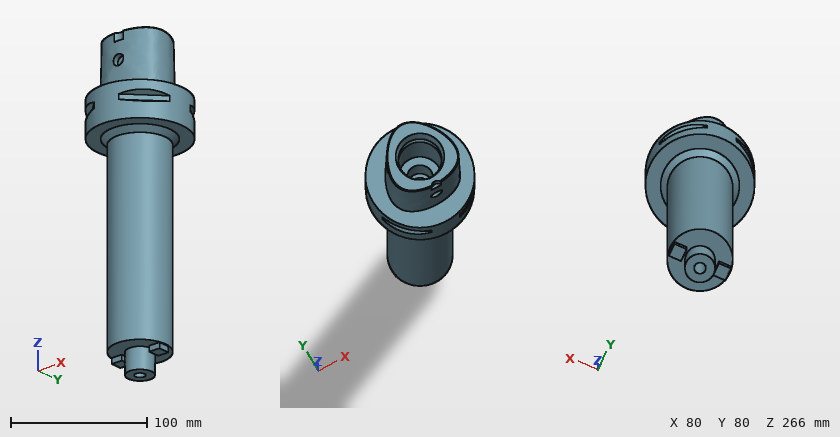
import cadquery as cq
import math

total_length = 266

pilot_radius = 22.0 / 2
pilot_length = 18.4
shaft_radius = 48.1 / 2
key_width = 10.0
key_height = 4.8
key_inner = 13.0
key_outer = 23.0

flange_radius = 80.0 / 2
flange_height = 30.5
cone_height = 4.8
cone_radius = shaft_radius + cone_height

shank_length = 47.3
shank_base_radius = 55.0 / 2
shank_top_radius = 53.0 / 2
shank_eccentricity = 2.0
shank_curve_points = 36
rim_chamfer = 0.8

flange_top = total_length - shank_length
flange_bottom = flange_top - flange_height
shaft_top = flange_bottom - cone_height

groove_count = 4
groove_floor_distance = 35.5
groove_floor_height = 4.3
groove_wall_angle = 30
groove_z = flange_top - 12.5

mouth_radius = 17.8
bore_radius = 16
lip_start = 6.6
lip_end = 8.2
clamp_groove_radius = 19.5
clamp_groove_end = 13.5
clamp_cone_end = 16
bore_depth = 53.2
thread_radius = 9.5
thread_depth = 74.5
clearance_radius = 6.5
clearance_depth = 90.5
coolant_radius = 4.3

mark_radius = 9.3 / 2
notch_depth = 7.5
notch_inner_y = -21.8
hole_depth_below_top = 23.0
hole_floor_y = -20.0


def revolve_profile(points):
    """Turn a closed (radius, z) outline about the Z axis."""
    return cq.Workplane("XZ").polyline(points).close().revolve(360, (0, 0, 0), (0, 1, 0))


def shank_section(mean_radius, z):
    """Three-lobed closed wire with one lobe pointing to +Y."""
    points = []
    for index in range(shank_curve_points):
        angle = 2 * math.pi * index / shank_curve_points - math.pi / 2
        x = mean_radius * math.cos(angle) - shank_eccentricity * math.sin(2 * angle)
        y = mean_radius * math.sin(angle) - shank_eccentricity * math.cos(2 * angle)
        points.append((x, y))
    return cq.Workplane("XY").workplane(offset=z).spline(points, periodic=True).wire().val()


def make_body():
    """Pilot, shaft, cone and flange turned as one piece."""
    return revolve_profile([
        (0, 0),
        (pilot_radius, 0),
        (pilot_radius, pilot_length),
        (shaft_radius, pilot_length),
        (shaft_radius, shaft_top),
        (cone_radius, flange_bottom),
        (flange_radius, flange_bottom),
        (flange_radius, flange_top),
        (0, flange_top),
    ])


def make_shank():
    """Tapered three-lobed shank with a chamfered rim."""
    chamfer_z = total_length - rim_chamfer
    base = shank_section(shank_base_radius, flange_top)
    chamfer_start = shank_section(shank_top_radius, chamfer_z)
    top = shank_section(shank_top_radius - rim_chamfer, total_length)
    return cq.Workplane(cq.Solid.makeLoft([base, chamfer_start, top], True))


def make_keys():
    """Two drive keys under the shaft, on the +X and -X sides."""
    key_length = key_outer - key_inner
    key_centre = (key_inner + key_outer) / 2
    return (
        cq.Workplane("XY")
        .workplane(offset=pilot_length - key_height)
        .pushPoints([(-key_centre, 0), (key_centre, 0)])
        .rect(key_length, key_width)
        .extrude(key_height)
    )


def make_flange_grooves():
    """Straight V grooves with a flat floor, spaced evenly around the flange at 45 degrees to X."""
    depth = flange_radius - groove_floor_distance
    floor_half = groove_floor_height / 2
    mouth_half = floor_half + depth * math.tan(math.radians(groove_wall_angle))
    groove = (
        cq.Workplane("XZ")
        .polyline([
            (groove_floor_distance, groove_z - floor_half),
            (flange_radius, groove_z - mouth_half),
            (flange_radius, groove_z + mouth_half),
            (groove_floor_distance, groove_z + floor_half),
        ])
        .close()
        .extrude(flange_radius, both=True)
    )
    step = 360 / groove_count
    grooves = cq.Workplane("XY")
    for index in range(groove_count):
        grooves = grooves.add(groove.rotate((0, 0, 0), (0, 0, 1), step * (index + 0.5)))
    return grooves.combine()


def make_bore():
    """Stepped bore with a clamping groove, open at both ends."""
    radius_and_depth = [
        (0, 0),
        (mouth_radius, 0),
        (bore_radius, lip_start),
        (bore_radius, lip_end),
        (clamp_groove_radius, lip_end),
        (clamp_groove_radius, clamp_groove_end),
        (bore_radius, clamp_cone_end),
        (bore_radius, bore_depth),
        (thread_radius, bore_depth),
        (thread_radius, thread_depth),
        (clearance_radius, thread_depth),
        (clearance_radius, clearance_depth),
        (coolant_radius, clearance_depth),
        (coolant_radius, total_length),
        (0, total_length),
    ]
    return revolve_profile([(radius, total_length - depth) for radius, depth in radius_and_depth])


def make_orientation_marks():
    """Upright round notch in the rim and a blind round hole below it."""
    notch = (
        cq.Workplane("XY")
        .workplane(offset=total_length - notch_depth)
        .center(0, notch_inner_y - mark_radius)
        .circle(mark_radius)
        .extrude(notch_depth)
    )
    hole = (
        cq.Workplane("XZ", origin=(0, hole_floor_y, 0))
        .center(0, total_length - hole_depth_below_top)
        .circle(mark_radius)
        .extrude(shank_base_radius + hole_floor_y)
    )
    return notch.union(hole)


result = (
    make_body()
    .union(make_shank())
    .union(make_keys())
    .cut(make_flange_grooves())
    .cut(make_bore())
    .cut(make_orientation_marks())
)